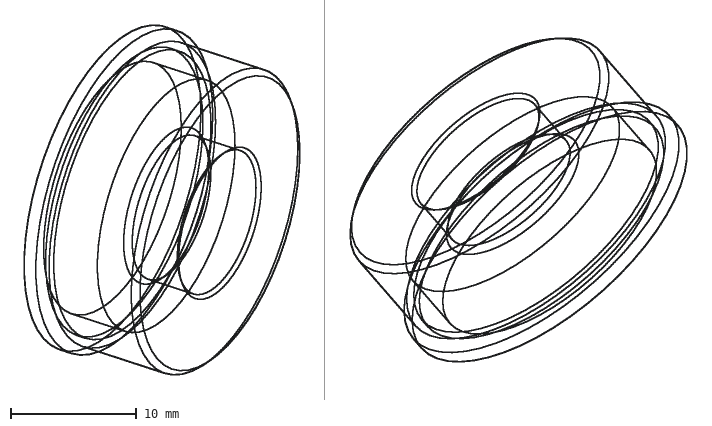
import cadquery as cq

total_length = 10.0

flange_diameter = 27.0
flange_thickness = 1.1

groove_diameter = 24.0
groove_width = 0.75

body_diameter = 25.4
body_end_chamfer = 0.5

recess_diameter = 21.0
recess_depth = 5.0

bore_diameter = 12.0
bore_floor_chamfer = 0.5
bore_exit_chamfer = 0.3


def disc(diameter, start, length):
    """Cylinder along +X whose first face is at x = start."""
    return cq.Workplane("YZ", origin=(start, 0, 0)).circle(diameter / 2).extrude(length)


def make_outside():
    """Flange, relief groove and cylindrical body with a chamfered far edge."""
    body_start = flange_thickness + groove_width
    flange = disc(flange_diameter, 0, flange_thickness)
    groove_core = disc(groove_diameter, flange_thickness, groove_width)
    body = disc(body_diameter, body_start, total_length - body_start)
    body = body.faces(">X").edges().chamfer(body_end_chamfer)
    return flange.union(groove_core).union(body)


def cut_recess(part):
    """Flat-bottomed recess opening through the flange face."""
    return part.cut(disc(recess_diameter, 0, recess_depth))


def cut_bore(part):
    """Bore from the recess floor to the far face, chamfered at both ends."""
    bore_radius = bore_diameter / 2
    half_section = (
        cq.Workplane("XY")
        .moveTo(recess_depth, 0)
        .lineTo(recess_depth, bore_radius + bore_floor_chamfer)
        .lineTo(recess_depth + bore_floor_chamfer, bore_radius)
        .lineTo(total_length - bore_exit_chamfer, bore_radius)
        .lineTo(total_length, bore_radius + bore_exit_chamfer)
        .lineTo(total_length, 0)
        .close()
    )
    return part.cut(half_section.revolve(360, (0, 0, 0), (1, 0, 0)))


result = cut_bore(cut_recess(make_outside()))